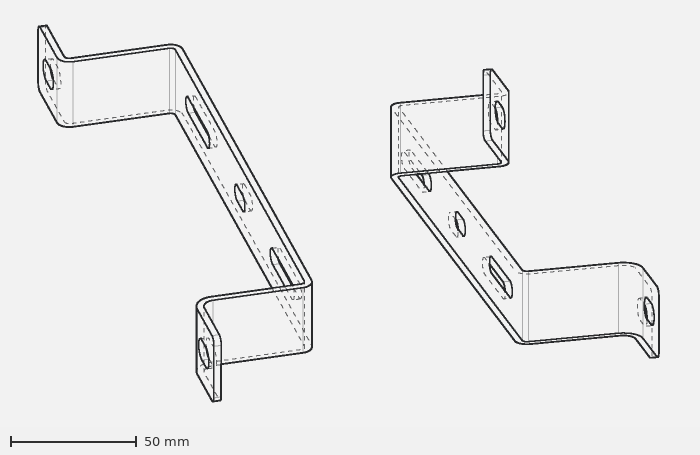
import cadquery as cq

length = 260.0
depth = 50.0
height = 30.0

flange_reach = 30.0
web_inner_radius = 1.95
web_outer_radius = 5.0
thickness = web_outer_radius - web_inner_radius
left_foot_inner_radius = 2.0
right_foot_inner_radius = 5.0
flange_corner_radius = 3.0

slot_height = 7.0
long_slot_length = 35.0
long_slot_offset = 62.5
center_slot_length = 15.0
flange_slot_length = 15.0
flange_slot_height = 9.0
flange_slot_inset = 15.0

half_length = length / 2
leg_outer_x = half_length - flange_reach
leg_inner_x = leg_outer_x - thickness


def round_edges(body, x, y, radius):
    """Fillet the Z-parallel edge that passes through (x, y)."""
    edge = cq.selectors.NearestToPointSelector((x, y, 0))
    return body.edges("|Z").edges(edge).fillet(radius)


def bent_strip():
    """Hat-shaped strip of constant thickness, centred in X and Z, with its feet on Y = 0."""
    body = (
        cq.Workplane("XY")
        .moveTo(-half_length, 0)
        .lineTo(-leg_inner_x, 0)
        .lineTo(-leg_inner_x, depth - thickness)
        .lineTo(leg_inner_x, depth - thickness)
        .lineTo(leg_inner_x, 0)
        .lineTo(half_length, 0)
        .lineTo(half_length, thickness)
        .lineTo(leg_outer_x, thickness)
        .lineTo(leg_outer_x, depth)
        .lineTo(-leg_outer_x, depth)
        .lineTo(-leg_outer_x, thickness)
        .lineTo(-half_length, thickness)
        .close()
        .extrude(height / 2, both=True)
    )
    for side, foot_inner_radius in ((-1, left_foot_inner_radius), (1, right_foot_inner_radius)):
        inner_x = side * leg_inner_x
        outer_x = side * leg_outer_x
        body = round_edges(body, inner_x, depth - thickness, web_inner_radius)
        body = round_edges(body, outer_x, depth, web_outer_radius)
        body = round_edges(body, outer_x, thickness, foot_inner_radius)
        body = round_edges(body, inner_x, 0, foot_inner_radius + thickness)
    return body


def slot_cutter(center_x, slot_length, width):
    """Slot along X that passes through the full depth in Y."""
    return (
        cq.Workplane("XZ")
        .center(center_x, 0)
        .slot2D(slot_length, width)
        .extrude(-depth)
    )


result = bent_strip()

result = result.faces("<X or >X").edges("|Y").fillet(flange_corner_radius)

result = result.cut(slot_cutter(0, center_slot_length, slot_height))
for side in (-1, 1):
    flange_slot_x = side * (half_length - flange_slot_inset)
    result = result.cut(slot_cutter(side * long_slot_offset, long_slot_length, slot_height))
    result = result.cut(slot_cutter(flange_slot_x, flange_slot_length, flange_slot_height))